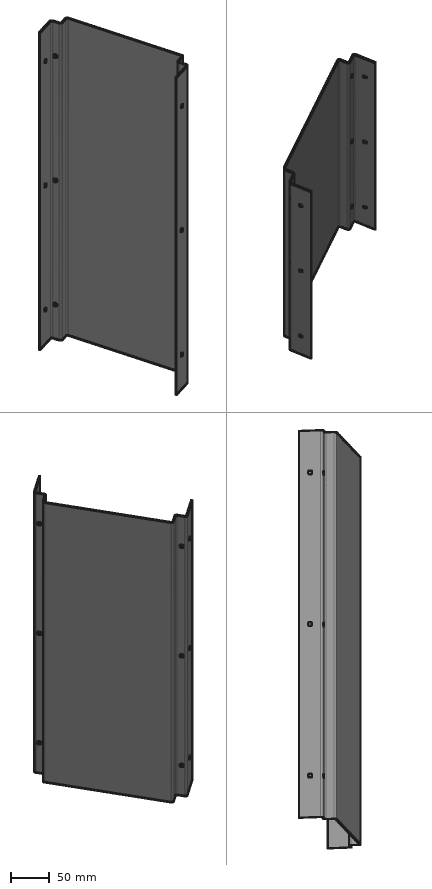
import cadquery as cq

width = 203.0
depth = 46.5
height = 510

thickness = 1.5
inner_radius = 1.5
outer_radius = inner_radius + thickness

ledge_inset = 15.0
ledge_setback = 15.0

hole_diameter = 5.0
hole_pitch = 200.0
ledge_hole_inset = 7.0
flange_hole_setback = 31.5

half_width = width / 2
back_y = depth / 2
front_y = -back_y
web_half_width = half_width - ledge_inset
ledge_back_y = back_y - ledge_setback
hole_heights = (-hole_pitch, 0, hole_pitch)


def stepped_block(side_half_width, center_half_width, shoulder_y, top_y):
    """Solid block with the stepped channel section, extruded along Z."""
    half_outline = [
        (side_half_width, front_y),
        (side_half_width, shoulder_y),
        (center_half_width, shoulder_y),
        (center_half_width, top_y),
    ]
    mirrored = [(-x, y) for x, y in reversed(half_outline)]
    return (
        cq.Workplane("XY")
        .polyline(half_outline + mirrored)
        .close()
        .extrude(height / 2, both=True)
    )


def round_bends(block, center_half_width, shoulder_y, convex_radius, concave_radius):
    """Round the vertical bend edges, leaving the free front edges sharp."""
    tolerance = thickness / 10

    def is_concave(edge):
        center = edge.Center()
        at_step = abs(abs(center.x) - center_half_width) < tolerance
        return at_step and abs(center.y - shoulder_y) < tolerance

    bends = [e for e in block.edges("|Z").vals() if e.Center().y > front_y + tolerance]
    concave = [e for e in bends if is_concave(e)]
    convex = [e for e in bends if not is_concave(e)]
    rounded = block.newObject(concave).fillet(concave_radius)
    convex_centers = [e.Center() for e in convex]
    remaining = [
        e
        for e in rounded.edges("|Z").vals()
        if any((e.Center() - c).Length < tolerance for c in convex_centers)
    ]
    return rounded.newObject(remaining).fillet(convex_radius)


def folded_sheet():
    """Difference of the outer and inner stepped blocks."""
    outer = stepped_block(half_width, web_half_width, ledge_back_y, back_y)
    outer = round_bends(outer, web_half_width, ledge_back_y, outer_radius, inner_radius)

    cavity_center = web_half_width - thickness
    cavity_shoulder = ledge_back_y - thickness
    cavity = stepped_block(
        half_width - thickness, cavity_center, cavity_shoulder, back_y - thickness
    )
    cavity = round_bends(cavity, cavity_center, cavity_shoulder, inner_radius, outer_radius)
    return outer.cut(cavity)


def ledge_holes():
    """Holes along Y through both ledges."""
    hole_x = half_width - ledge_hole_inset
    points = [(x, z) for x in (-hole_x, hole_x) for z in hole_heights]
    return (
        cq.Workplane("XZ")
        .pushPoints(points)
        .circle(hole_diameter / 2)
        .extrude(depth, both=True)
    )


def flange_holes():
    """Holes along X through both side flanges."""
    hole_y = back_y - flange_hole_setback
    points = [(hole_y, z) for z in hole_heights]
    return (
        cq.Workplane("YZ")
        .pushPoints(points)
        .circle(hole_diameter / 2)
        .extrude(width, both=True)
    )


result = folded_sheet().cut(ledge_holes()).cut(flange_holes())